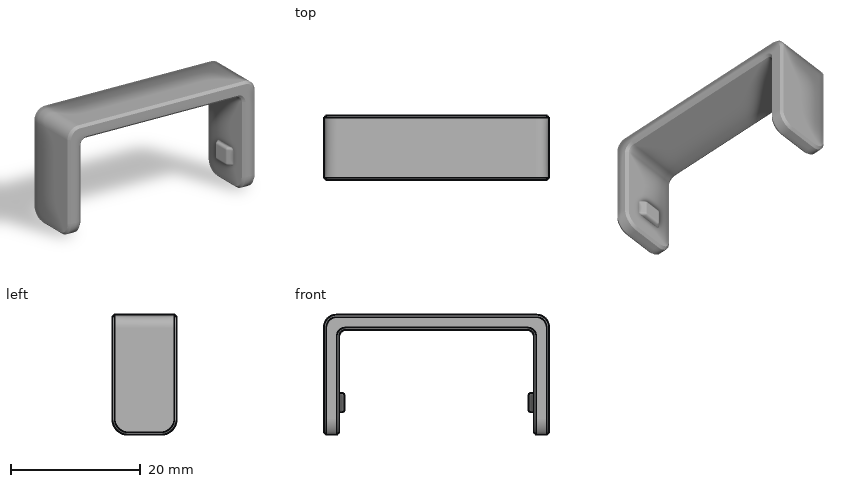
import cadquery as cq

inner_width = 30.0
wall = 2.4
outer_width = inner_width + 2 * wall
depth = 10.0
height = 18.6
outer_corner_radius = 2.0
inner_corner_radius = 1.0
foot_corner_radius = 2.5
edge_chamfer = 0.4

pad_projection = 0.8
pad_root_length = 4.5
pad_tip_length = pad_root_length - 2 * pad_projection
pad_height = 3.0
pad_bottom_z = 3.5
pad_edge_radius = 0.4


def upright_box(width, box_height, top_corner_radius):
    """Full-depth box standing on z = 0 with its two top corners rounded."""
    box = cq.Workplane("XY").box(width, depth, box_height, centered=(True, True, False))
    return box.edges("|Y and >Z").fillet(top_corner_radius)


def make_bracket():
    """U-shaped body with rounded feet and the edges around its rim chamfered."""
    outside = upright_box(outer_width, height, outer_corner_radius)
    opening = upright_box(inner_width, height - wall, inner_corner_radius)
    body = outside.cut(opening)
    body = body.edges("|X and <Z").fillet(foot_corner_radius)
    return body.faces("<Y or >Y or <Z").edges("not |X").chamfer(edge_chamfer)


def make_pad(side):
    """Pad on one leg, rounded everywhere but at its root: side is -1 for the -X leg, +1 for the +X leg."""
    root_x = side * inner_width / 2
    tip_x = root_x - side * pad_projection
    outline = [
        (root_x, -pad_root_length / 2),
        (tip_x, -pad_tip_length / 2),
        (tip_x, pad_tip_length / 2),
        (root_x, pad_root_length / 2),
    ]
    pad = cq.Workplane("XY", origin=(0, 0, pad_bottom_z)).polyline(outline).close().extrude(pad_height)
    edges_off_root = "not >X" if side > 0 else "not <X"
    return pad.edges(edges_off_root).fillet(pad_edge_radius)


result = make_bracket()
for leg_side in (-1, 1):
    result = result.union(make_pad(leg_side))